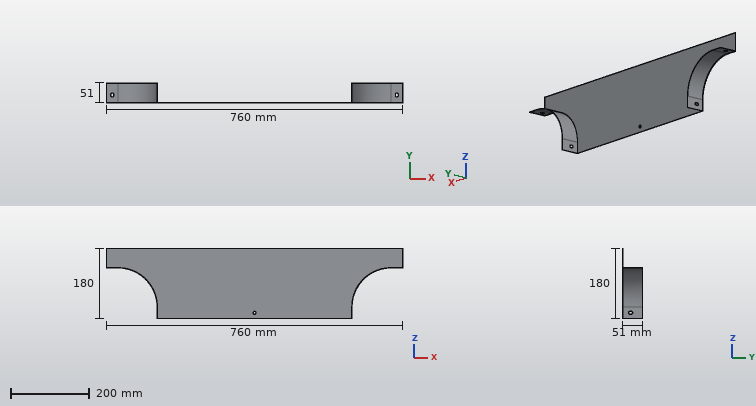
import cadquery as cq
import math

length = 760.0
height = 180.0
sheet = 1.0
flange_depth = 50.0
end_height = 50.0
bend_radius = 100.0
hole_diameter = 7.0
hole_edge_distance = 15.0
slot_length = 10.0
slot_y = 20.5

half_length = length / 2
cutout_height = height - end_height
straight_length = cutout_height - bend_radius
half_foot = half_length - cutout_height
arc_start_x = half_foot + bend_radius
depth = sheet + flange_depth


def arc_middle(radius):
    """Midpoint (X, Z) of the right-hand quarter arc, about the bend centre."""
    offset = radius * math.sin(math.radians(45))
    return arc_start_x - offset, straight_length + offset


def make_web():
    """Flat upright sheet with a quarter-round cut-out at each lower corner."""
    half_web = (
        cq.Workplane("XZ")
        .moveTo(0, 0)
        .lineTo(half_foot, 0)
        .lineTo(half_foot, straight_length)
        .threePointArc(arc_middle(bend_radius), (arc_start_x, cutout_height))
        .lineTo(half_length, cutout_height)
        .lineTo(half_length, height)
        .lineTo(0, height)
        .close()
        .extrude(-sheet)
    )
    return half_web.union(half_web.mirror("YZ"))


def make_right_flange():
    """Curved strip that follows the right-hand cut-out, with a slot in each straight end."""
    outer_radius = bend_radius + sheet
    strip = (
        cq.Workplane("XZ")
        .moveTo(half_foot, 0)
        .lineTo(half_foot, straight_length)
        .threePointArc(arc_middle(bend_radius), (arc_start_x, cutout_height))
        .lineTo(half_length, cutout_height)
        .lineTo(half_length, cutout_height + sheet)
        .lineTo(arc_start_x, cutout_height + sheet)
        .threePointArc(arc_middle(outer_radius), (half_foot - sheet, straight_length))
        .lineTo(half_foot - sheet, 0)
        .close()
        .extrude(-depth)
    )
    upper_slot = (
        cq.Workplane("XY", origin=(half_length - hole_edge_distance, slot_y, cutout_height))
        .slot2D(slot_length, hole_diameter, 90)
        .extrude(sheet)
    )
    lower_slot = (
        cq.Workplane("YZ", origin=(half_foot - sheet, slot_y, hole_edge_distance))
        .slot2D(slot_length, hole_diameter)
        .extrude(sheet)
    )
    return strip.cut(upper_slot).cut(lower_slot)


def make_web_hole():
    """Cutter for the hole at the middle of the web's lower edge."""
    return (
        cq.Workplane("XZ", origin=(0, 0, hole_edge_distance))
        .circle(hole_diameter / 2)
        .extrude(-sheet)
    )


right_flange = make_right_flange()
left_flange = right_flange.mirror("YZ")
result = make_web().union(right_flange).union(left_flange).cut(make_web_hole())